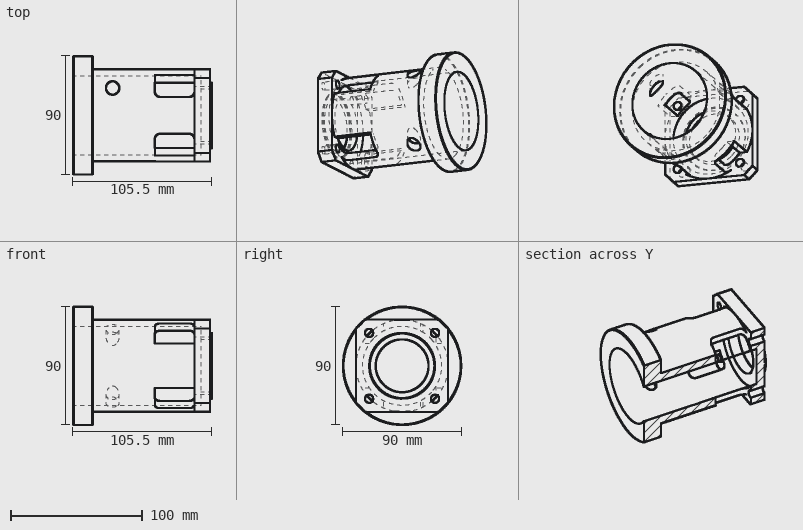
import cadquery as cq

total_length = 105.5
flange_thickness = 15.0
plate_thickness = 12.0
spigot_length = 1.5
plate_back = total_length - spigot_length
plate_front = plate_back - plate_thickness
bore_depth_in_plate = 5.0
bore_depth = plate_front + bore_depth_in_plate

flange_diameter = 90.0
tube_diameter = 70.0
bore_diameter = 60.0
spigot_diameter = 50.0
through_diameter = 40.0
edge_chamfer = 0.5

plate_width = tube_diameter
plate_corner_chamfer = 6.6
mount_hole_diameter = 6.2
mount_hole_spacing = 50.0

window_length = 30.0
window_start_y = 14.0
window_start_z = 17.0
window_corner_radius = 4.0
window_reach = tube_diameter / 2

cross_hole_diameter = 10.0
cross_hole_x = 2 * flange_thickness
cross_hole_y = 20.8


def cylinder_x(diameter, start, end):
    """Cylinder on the X axis between two X positions."""
    return cq.Workplane("YZ").workplane(offset=start).circle(diameter / 2).extrude(end - start)


def make_flange():
    return cylinder_x(flange_diameter, 0, flange_thickness).edges().chamfer(edge_chamfer)


def make_plate():
    """Square plate with cut corners and four mounting holes."""
    plate = (
        cq.Workplane("YZ")
        .workplane(offset=plate_front)
        .rect(plate_width, plate_width)
        .extrude(plate_thickness)
        .edges("|X")
        .chamfer(plate_corner_chamfer)
    )
    holes = (
        cq.Workplane("YZ")
        .workplane(offset=plate_front)
        .rect(mount_hole_spacing, mount_hole_spacing, forConstruction=True)
        .vertices()
        .circle(mount_hole_diameter / 2)
        .extrude(plate_thickness)
    )
    return plate.cut(holes)


def make_spigot():
    """Centring spigot with a chamfered free edge."""
    return cylinder_x(spigot_diameter, plate_back, total_length).faces(">X").edges().chamfer(edge_chamfer)


def make_window():
    """Cutter for the window on the +Y, +Z side, rounded at its inner Y wall."""
    return (
        cq.Workplane("XY")
        .box(window_length, window_reach, window_reach, centered=False)
        .edges("|Z and <Y")
        .fillet(window_corner_radius)
        .translate((plate_front - window_length, window_start_y, window_start_z))
    )


def make_cross_hole():
    return (
        cq.Workplane("XY")
        .center(cross_hole_x, cross_hole_y)
        .circle(cross_hole_diameter / 2)
        .extrude(tube_diameter / 2, both=True)
    )


tube = cylinder_x(tube_diameter, 0, plate_front)
upper_window = make_window()
for window in (upper_window, upper_window.mirror("XY")):
    tube = tube.cut(window).cut(window.mirror("XZ"))

result = tube.union(make_flange()).union(make_plate()).union(make_spigot())
result = result.cut(cylinder_x(bore_diameter, 0, bore_depth))
result = result.cut(cylinder_x(through_diameter, 0, total_length))
result = result.cut(make_cross_hole())